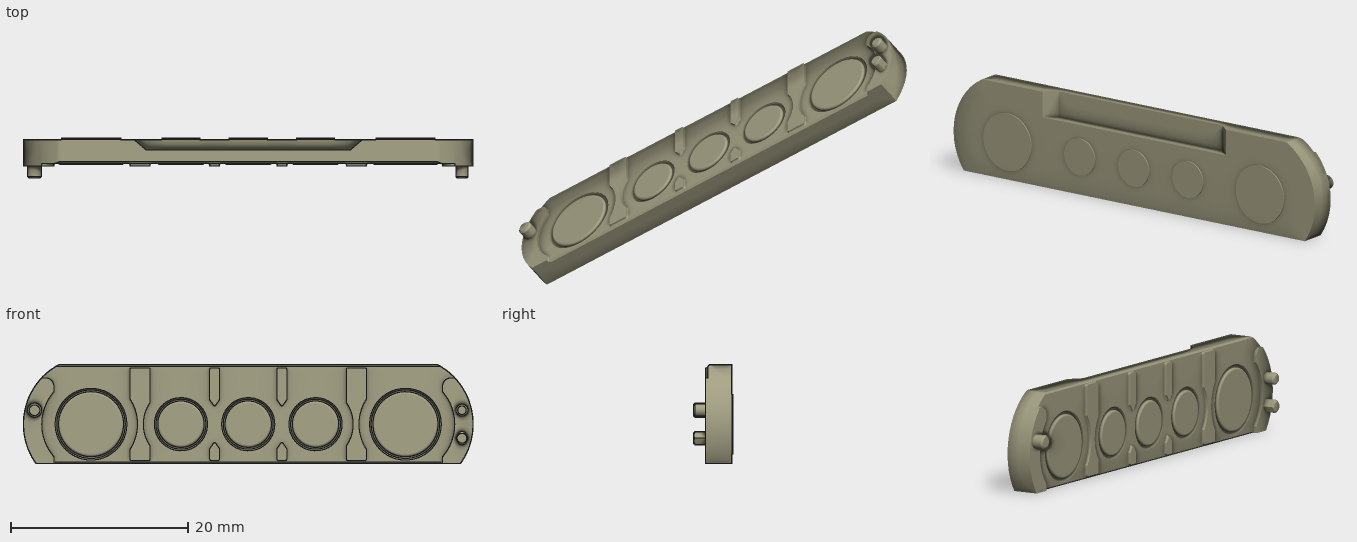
import cadquery as cq
import math

overall_length = 50.8
overall_height = 11.18
plate_bottom = -4.45
plate_top = plate_bottom + overall_height
plate_thickness = 2.7
edge_chamfer = 0.2
end_corner_radius = 0.75

large_button_x = 17.75
small_button_pitch = 7.6
large_button_radius = 3.67
small_button_radius = 2.62
large_back_radius = 3.36
small_back_radius = 2.15
button_front_height = 0.13
button_back_height = 0.15
button_edge_radius = 0.27
groove_width = 0.38
groove_depth = 0.25
groove_wall_slope = 0.18

pad_height = 0.3
pad_foot_fillet = 0.16
large_pad_clearance = 5.25
small_pad_clearance = 4.25
end_pad_clearance = 5.57
wide_pad_outer_x = 13.35
wide_pad_inner_x = 11.08
narrow_pad_width = 1.1
end_pad_inner_x = 21.95
end_pad_top = 5.22
end_pad_corner_radius = 0.9
trim_margin = 1.0

pin_length = 1.35
pin_chamfer = 0.2
pin_x = 24.13
pin_z = 1.58
left_pin_radius = 0.8
right_pin_radius = 0.68
diamond_pin_radius = 0.75
diamond_half_width = 0.7
diamond_flat_angle = 60

relief_half_length = 12.9
relief_depth = 1.2
relief_end_slope_length = 1.4
relief_height = 3.0

end_radius = overall_length / 2 - large_button_x
plate_front = -plate_thickness
pad_front = plate_front - pad_height
pad_edge_inset = edge_chamfer + pad_foot_fillet
pin_front = pad_front - pin_length
diamond_half_height = diamond_half_width * math.tan(math.radians(diamond_flat_angle))
small_button_xs = [-small_button_pitch, 0, small_button_pitch]
large_button_xs = [-large_button_x, large_button_x]
sides = [-1, 1]


def front_plane(y):
    """Sketch plane facing the front (-Y), with sketch x = X and sketch y = Z."""
    return cq.Workplane("XZ", origin=(0, y, 0))


def round_bar(x, z, radius, back_y, front_y):
    return front_plane(back_y).center(x, z).circle(radius).extrude(back_y - front_y)


def block(x_min, x_max, z_min, z_max, back_y, front_y):
    width = x_max - x_min
    height = z_max - z_min
    sketch = front_plane(back_y).center((x_min + x_max) / 2, (z_min + z_max) / 2)
    return sketch.rect(width, height).extrude(back_y - front_y)


def outline_prism(back_y, front_y):
    """Plate outline: flat top and bottom, ends concentric with the large buttons."""
    top_x = large_button_x + math.sqrt(end_radius**2 - plate_top**2)
    bottom_x = large_button_x + math.sqrt(end_radius**2 - plate_bottom**2)
    tip_x = large_button_x + end_radius
    return (
        front_plane(back_y)
        .moveTo(-bottom_x, plate_bottom)
        .lineTo(bottom_x, plate_bottom)
        .threePointArc((tip_x, 0), (top_x, plate_top))
        .lineTo(-top_x, plate_top)
        .threePointArc((-tip_x, 0), (-bottom_x, plate_bottom))
        .close()
        .extrude(back_y - front_y)
        .edges("|Y and >Z")
        .fillet(end_corner_radius)
    )


def make_edge_chamfer(edge_z, inward, half_length):
    """Cutter for the front edge at height edge_z; inward is the Z direction into the plate."""
    corners = [
        (plate_front, edge_z),
        (plate_front + edge_chamfer, edge_z),
        (plate_front, edge_z + inward * edge_chamfer),
    ]
    return cq.Workplane("YZ").polyline(corners).close().extrude(half_length, both=True)


def make_relief():
    """Cutter for the trapezoidal relief along the top of the back face."""
    floor_half_length = relief_half_length - relief_end_slope_length
    return (
        cq.Workplane("XY", origin=(0, 0, plate_top - relief_height))
        .polyline(
            [
                (-relief_half_length, 0),
                (-floor_half_length, -relief_depth),
                (floor_half_length, -relief_depth),
                (relief_half_length, 0),
            ]
        )
        .close()
        .extrude(relief_height)
    )


def add_button(body, x, radius, back_radius):
    """Round button in a ring groove with a sloping outer wall, plus a low disc on the back face."""
    groove_radius = radius + groove_width
    groove_floor = plate_front + groove_depth
    groove = round_bar(x, 0, groove_radius, groove_floor, plate_front)
    groove = groove.faces(">Y").edges().chamfer(groove_wall_slope)
    button = round_bar(x, 0, radius, groove_floor, plate_front - button_front_height)
    button = button.faces("<Y").edges().fillet(button_edge_radius)
    back_disc = round_bar(x, 0, back_radius, button_back_height, 0)
    return body.cut(groove).union(button).union(back_disc)


def add_foot_fillet(pad):
    """Pad with a flared foot, standing on a piece of backing that sinks into the plate."""
    box = pad.val().BoundingBox()
    reach = 2 * pad_foot_fillet
    backing = block(
        box.xmin - reach,
        box.xmax + reach,
        box.zmin - reach,
        box.zmax + reach,
        plate_front + reach,
        plate_front,
    )
    foot_edges = cq.selectors.BoxSelector(
        (box.xmin - pad_foot_fillet, plate_front - pad_foot_fillet, box.zmin - pad_foot_fillet),
        (box.xmax + pad_foot_fillet, plate_front + pad_foot_fillet, box.zmax + pad_foot_fillet),
    )
    return backing.union(pad).edges(foot_edges).fillet(pad_foot_fillet)


def make_full_height_pad(x_min, x_max, cleared_buttons):
    """Pad from the bottom chamfer to the top one, cut away around the given (x, radius) circles."""
    pad = block(
        x_min, x_max, plate_bottom + pad_edge_inset, plate_top - pad_edge_inset, plate_front, pad_front
    )
    for x, clearance in cleared_buttons:
        pad = pad.cut(round_bar(x, 0, clearance, plate_front, pad_front))
    return pad


def make_wide_pad(side):
    """Pad between a large and a small button, waisted to clear both."""
    x_limits = sorted([side * wide_pad_inner_x, side * wide_pad_outer_x])
    cleared_buttons = [
        (side * large_button_x, large_pad_clearance),
        (side * small_button_pitch, small_pad_clearance),
    ]
    return add_foot_fillet(make_full_height_pad(*x_limits, cleared_buttons))


def make_narrow_pads(side):
    """Upper and lower pads between two small buttons, pointed where they clear both."""
    centre_x = side * small_button_pitch / 2
    half_width = narrow_pad_width / 2
    cleared_buttons = [(0, small_pad_clearance), (side * small_button_pitch, small_pad_clearance)]
    pads = make_full_height_pad(centre_x - half_width, centre_x + half_width, cleared_buttons)
    lower, upper = [add_foot_fillet(cq.Workplane(pad)) for pad in pads.solids().vals()]
    return lower.union(upper)


def make_end_pad(side):
    """Pad filling the plate end outside the large button, flush with the end wall."""
    x_limits = sorted([side * end_pad_inner_x, side * (overall_length / 2 + trim_margin)])
    pad = block(*x_limits, plate_bottom - trim_margin, end_pad_top, plate_front, pad_front)
    inner_side = "<X" if side > 0 else ">X"
    pad = pad.faces(inner_side).edges("|Y and >Z").fillet(end_pad_corner_radius)
    pad = pad.cut(round_bar(side * large_button_x, 0, end_pad_clearance, plate_front, pad_front))
    return add_foot_fillet(pad)


def make_round_pin(x, z, radius):
    pin = round_bar(x, z, radius, plate_front, pin_front)
    return pin.faces("<Y").edges().chamfer(pin_chamfer)


def make_diamond_pin(x, z):
    """Pin with four flats meeting at its sides, rounded at its top and bottom."""
    corners = [
        (diamond_half_width, 0),
        (0, diamond_half_height),
        (-diamond_half_width, 0),
        (0, -diamond_half_height),
    ]
    diamond = front_plane(plate_front).center(x, z).polyline(corners).close().extrude(plate_front - pin_front)
    return make_round_pin(x, z, diamond_pin_radius).intersect(diamond)


def make_plate():
    """Plate and pads, trimmed together to the outline so that the end pads run flush with the ends."""
    half_length = overall_length / 2 + trim_margin
    plate = block(
        -half_length, half_length, plate_bottom - trim_margin, plate_top + trim_margin, 0, plate_front
    )
    for side in sides:
        plate = plate.union(make_wide_pad(side))
        plate = plate.union(make_narrow_pads(side))
        plate = plate.union(make_end_pad(side))
    plate = plate.intersect(outline_prism(0, pad_front))
    plate = plate.cut(make_edge_chamfer(plate_top, -1, overall_length / 2))
    return plate.cut(make_edge_chamfer(plate_bottom, 1, end_pad_inner_x - pad_foot_fillet))


result = make_plate().cut(make_relief())
for x in large_button_xs:
    result = add_button(result, x, large_button_radius, large_back_radius)
for x in small_button_xs:
    result = add_button(result, x, small_button_radius, small_back_radius)
result = result.union(make_round_pin(-pin_x, pin_z, left_pin_radius))
result = result.union(make_round_pin(pin_x, pin_z, right_pin_radius))
result = result.union(make_diamond_pin(pin_x, -pin_z))